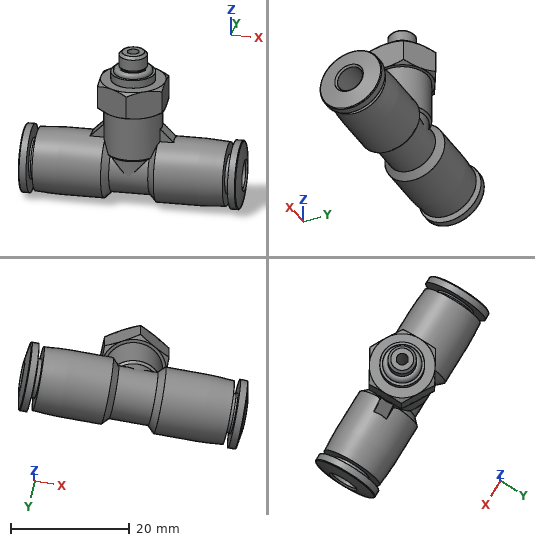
import cadquery as cq
import math

overall_length = 38.4
end_x = overall_length / 2
waist_radius = 4.57
barrel_radius = 11.5 / 2
barrel_end_radius = 11.0 / 2
barrel_nose_radius = 5.55
barrel_start_x = 4.55
barrel_straight_end_x = 12.05
barrel_nose_x = 15.05
barrel_end_x = 16.35
waist_end_x = barrel_start_x - (barrel_radius - waist_radius)

neck_radius = 6.75 / 2
neck_flare = 0.15
flange_radius = 11.8 / 2
flange_inner_x = 17.3
flange_rim_x = 18.5
flange_chamfer = 0.15
mouth_radius = 2.73
mouth_chamfer = 0.3
socket_radius = 4.75 / 2
socket_floor_x = 5.75
bore_radius = 2.0 / 2

branch_radius = 10.0 / 2
branch_step_z = 3.4
hex_bottom_z = 11.4
hex_top_z = 16.35
hex_corner_diameter = 12.83
hex_flat_radius = hex_corner_diameter / 2 * math.cos(math.pi / 6)
hex_chamfer_angle = math.radians(30)
collar_radius = 7.6 / 2
collar_top_z = 17.78
seal_ring_radius = 2.7
seal_section_radius = 0.65
seal_center_z = 17.95

spigot_radius = 4.85 / 2
spigot_end_radius = 3.88 / 2
spigot_chamfer = spigot_radius - spigot_end_radius
spigot_start_z = 18.9
spigot_top_z = 27.3 - flange_radius

rib_width = 2.5
rib_foot_x = 7.2
rib_foot_z = 5.65


def make_half_run():
    """Solid half of the run on the +X side, revolved about X."""
    barrel_drop = barrel_radius - barrel_nose_radius
    barrel_taper = barrel_nose_x - barrel_straight_end_x
    crown_start_x = flange_rim_x + flange_chamfer
    crown_radius = flange_radius - flange_chamfer
    profile = (
        cq.Workplane("XY")
        .lineTo(0, waist_radius)
        .lineTo(waist_end_x, waist_radius)
        .lineTo(barrel_start_x, barrel_radius)
        .lineTo(barrel_straight_end_x, barrel_radius)
        .threePointArc(
            (barrel_straight_end_x + barrel_taper / 2, barrel_radius - barrel_drop / 4),
            (barrel_nose_x, barrel_nose_radius),
        )
        .lineTo(barrel_end_x, barrel_end_radius)
        .lineTo(barrel_end_x, neck_radius)
        .lineTo(flange_inner_x - 2 * neck_flare, neck_radius)
        .lineTo(flange_inner_x, neck_radius + neck_flare)
        .lineTo(flange_inner_x, flange_radius)
        .lineTo(flange_rim_x, flange_radius)
        .lineTo(crown_start_x, crown_radius)
        .lineTo(end_x, mouth_radius)
        .lineTo(end_x, 0)
        .close()
    )
    return profile.revolve(360, (0, 0, 0), (1, 0, 0))


def make_socket():
    """Tube socket with a chamfered mouth, as a cutter on the +X side."""
    profile = (
        cq.Workplane("XY")
        .moveTo(socket_floor_x, 0)
        .lineTo(socket_floor_x, socket_radius)
        .lineTo(end_x - mouth_chamfer, socket_radius)
        .lineTo(end_x, mouth_radius)
        .lineTo(end_x, 0)
        .close()
    )
    return profile.revolve(360, (0, 0, 0), (1, 0, 0))


def make_branch():
    """Round parts of the branch, mitred into the waist at its lower end."""
    profile = (
        cq.Workplane("XZ")
        .lineTo(waist_radius, 0)
        .lineTo(waist_radius, branch_step_z - (branch_radius - waist_radius))
        .lineTo(branch_radius, branch_step_z)
        .lineTo(branch_radius, hex_bottom_z)
        .lineTo(collar_radius, hex_bottom_z)
        .lineTo(collar_radius, collar_top_z)
        .lineTo(spigot_end_radius, collar_top_z)
        .lineTo(spigot_end_radius, spigot_start_z - spigot_chamfer)
        .lineTo(spigot_radius, spigot_start_z)
        .lineTo(spigot_radius, spigot_top_z - spigot_chamfer)
        .lineTo(spigot_end_radius, spigot_top_z)
        .lineTo(0, spigot_top_z)
        .close()
    )
    return profile.revolve(360, (0, 0, 0), (0, 1, 0))


def make_seal():
    """O-ring seated on the collar."""
    section = cq.Workplane("XZ").center(seal_ring_radius, seal_center_z).circle(seal_section_radius)
    return section.revolve(360, (-seal_ring_radius, 0, 0), (-seal_ring_radius, 1, 0))


def make_hex():
    """Hexagon with flats facing X and both faces turned down conically at the corners."""
    hexagon = (
        cq.Workplane("XY")
        .workplane(offset=hex_bottom_z)
        .transformed(rotate=(0, 0, 90))
        .polygon(6, hex_corner_diameter)
        .extrude(hex_top_z - hex_bottom_z)
    )
    corner_radius = hex_corner_diameter / 2
    chamfer_height = (corner_radius - hex_flat_radius) * math.tan(hex_chamfer_angle)
    turned_blank = (
        cq.Workplane("XZ")
        .moveTo(0, hex_bottom_z)
        .lineTo(hex_flat_radius, hex_bottom_z)
        .lineTo(corner_radius, hex_bottom_z + chamfer_height)
        .lineTo(corner_radius, hex_top_z - chamfer_height)
        .lineTo(hex_flat_radius, hex_top_z)
        .lineTo(0, hex_top_z)
        .close()
        .revolve(360, (0, 0, 0), (0, 1, 0))
    )
    return hexagon.intersect(turned_blank)


def make_ribs():
    """Pair of 45 degree ribs, drawn as one triangle spanning the branch."""
    foot_depth = barrel_radius - waist_radius
    foot_bottom_z = rib_foot_z - foot_depth
    inner_x = branch_radius / 2
    top_z = rib_foot_z + rib_foot_x - inner_x
    outline = [
        (-rib_foot_x, foot_bottom_z),
        (rib_foot_x, foot_bottom_z),
        (rib_foot_x, rib_foot_z),
        (inner_x, top_z),
        (-inner_x, top_z),
        (-rib_foot_x, rib_foot_z),
    ]
    return cq.Workplane("XZ").polyline(outline).close().extrude(rib_width / 2, both=True)


half_run = make_half_run()
socket = make_socket()
run_bore = cq.Workplane("YZ").circle(bore_radius).extrude(end_x, both=True)
branch_bore = cq.Workplane("XY").circle(bore_radius).extrude(spigot_top_z)

body = half_run.union(half_run.mirror("YZ"))
for addition in (make_branch(), make_hex(), make_seal(), make_ribs()):
    body = body.union(addition)
for cutter in (socket, socket.mirror("YZ"), run_bore, branch_bore):
    body = body.cut(cutter)
result = body